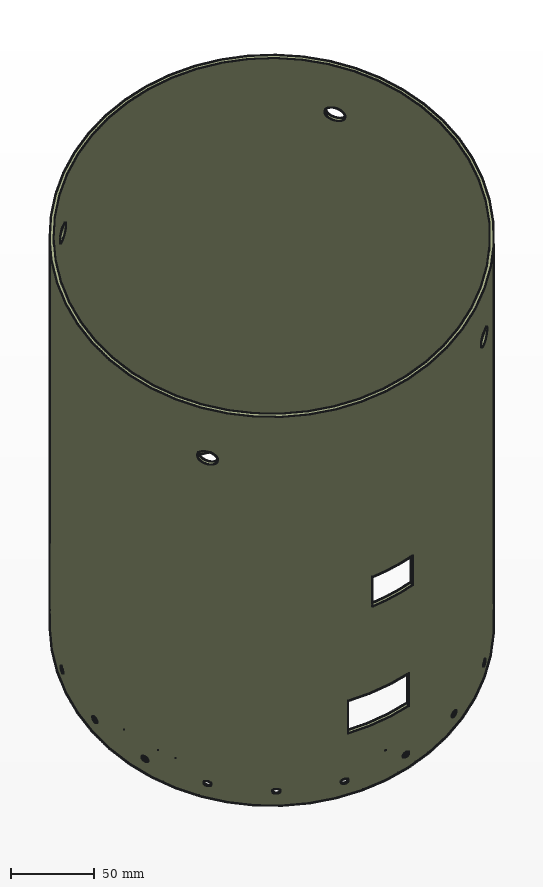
import cadquery as cq

height = 400.0
outer_diameter = 265.0
bore_diameter = 260.0
collar_bore_diameter = 263.0
collar_height = 30.0

hanger_hole_diameter = 13.0
hanger_hole_drop = 50.0
hanger_hole_count = 4

collar_hole_diameter = 5.0
collar_hole_count = 20

upper_window_width = 29.0
upper_window_height = 30.0
upper_window_angle = 50.0
upper_window_z = height / 2
lower_window_width = 41.5
lower_window_height = 33.0
lower_window_angle = 46.0
lower_window_z = height / 5

cutter_length = outer_diameter


def make_tube():
    tube = cq.Workplane("XY").circle(outer_diameter / 2).circle(bore_diameter / 2).extrude(height)
    counterbore = cq.Workplane("XY").circle(collar_bore_diameter / 2).extrude(collar_height)
    return tube.cut(counterbore)


def place_on_wall(cutter, angle, z):
    """Turn a cutter pointing along -Y about the tube axis and raise it to z."""
    return cutter.rotate((0, 0, 0), (0, 0, 1), angle).translate((0, 0, z))


def cut_hole_ring(tube, diameter, count, z):
    drill = cq.Workplane("XZ").circle(diameter / 2).extrude(cutter_length)
    for index in range(count):
        tube = tube.cut(place_on_wall(drill, index * 360 / count, z))
    return tube


def cut_window(tube, width, window_height, angle, z):
    cutter = cq.Workplane("XZ").rect(width, window_height).extrude(cutter_length)
    return tube.cut(place_on_wall(cutter, angle, z))


result = make_tube()
result = cut_hole_ring(result, hanger_hole_diameter, hanger_hole_count, height - hanger_hole_drop)
result = cut_hole_ring(result, collar_hole_diameter, collar_hole_count, collar_height / 2)
result = cut_window(result, upper_window_width, upper_window_height, upper_window_angle, upper_window_z)
result = cut_window(result, lower_window_width, lower_window_height, lower_window_angle, lower_window_z)